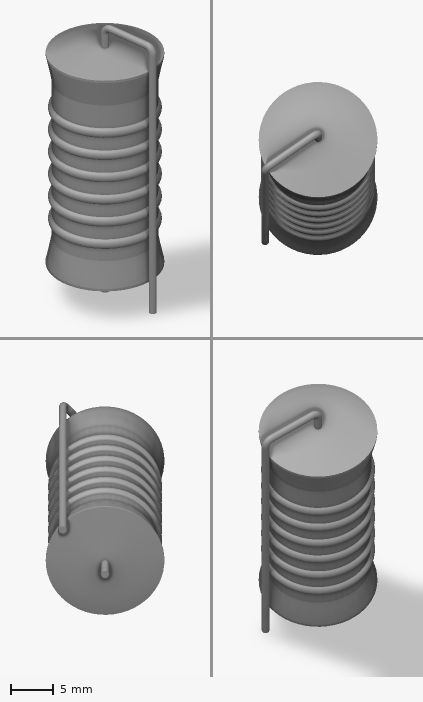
import cadquery as cq

wire_dia = 0.9
wire_top = 36.1
wire_bend_radius = 0.9
return_lead_x = 7.6

barrel_dia = 12.55
rim_dia = 13.97
body_bottom = 3.07
body_length = 29.93
cone_height = 0.75
rim_height = 0.32
flare_height = 3.4

ring_count = 6
ring_pitch = 3.0
first_ring_z = 9.82
ring_section_radius = 0.7
ring_outer_radius = 6.7

barrel_radius = barrel_dia / 2
rim_radius = rim_dia / 2
body_top = body_bottom + body_length


def make_body():
    """Barrel with flared ends, narrow rims and shallow conical end faces."""
    low_rim = body_bottom + cone_height
    low_flare = low_rim + rim_height
    low_barrel = low_flare + flare_height
    high_rim = body_top - cone_height
    high_flare = high_rim - rim_height
    high_barrel = high_flare - flare_height
    profile = (
        cq.Workplane("XZ")
        .moveTo(0, body_bottom)
        .lineTo(rim_radius, low_rim)
        .lineTo(rim_radius, low_flare)
        .lineTo(barrel_radius, low_barrel)
        .lineTo(barrel_radius, high_barrel)
        .lineTo(rim_radius, high_flare)
        .lineTo(rim_radius, high_rim)
        .lineTo(0, body_top)
        .close()
    )
    return profile.revolve(360, (0, 0, 0), (0, 1, 0))


def make_ring(height):
    """Round-section ring partly sunk into the barrel."""
    ring = cq.Solid.makeTorus(ring_outer_radius - ring_section_radius, ring_section_radius)
    return ring.translate(cq.Vector(0, 0, height))


def make_wire():
    """Lead running up through the body, over the top and down beside it."""
    run_z = wire_top - wire_dia / 2
    bend_z = run_z - wire_bend_radius
    path = (
        cq.Workplane("XZ")
        .lineTo(0, bend_z)
        .radiusArc((wire_bend_radius, run_z), wire_bend_radius)
        .lineTo(return_lead_x - wire_bend_radius, run_z)
        .radiusArc((return_lead_x, bend_z), wire_bend_radius)
        .lineTo(return_lead_x, 0)
    )
    return cq.Workplane("XY").circle(wire_dia / 2).sweep(path)


result = make_body()
for index in range(ring_count):
    result = result.union(make_ring(first_ring_z + index * ring_pitch))
result = result.union(make_wire())